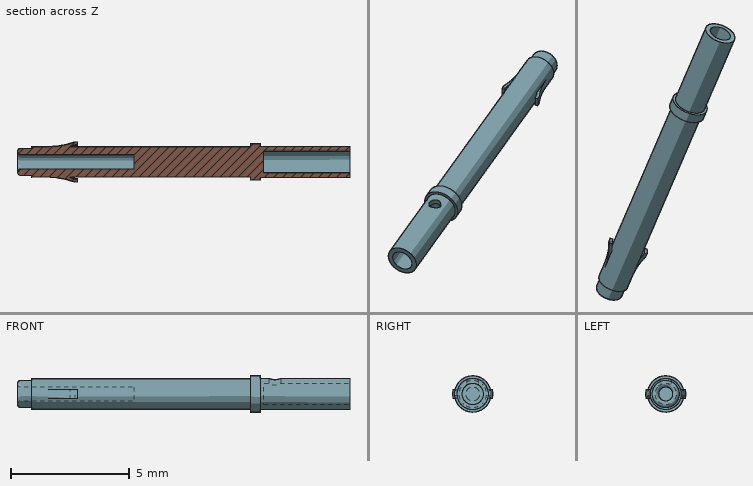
import cadquery as cq
import math

length = 14.09
body_diameter = 1.31
rear_diameter = 1.32

nose_diameter = 1.15
nose_length = 0.6
socket_diameter = 0.59
socket_depth = 4.93
rim_radius = (nose_diameter - socket_diameter) / 4

collar_diameter = 1.55
collar_start = 9.86
collar_width = 0.42

barrel_diameter = 0.9
barrel_depth = 3.66
inspection_diameter = 0.51
inspection_x = 10.9

tine_span = 1.7
tine_width = 0.4
tine_thickness = 0.13
tine_start = 1.32
tine_crest = 2.42
tine_end = 2.55


def rod(start, rod_length, diameter):
    """Solid cylinder along X."""
    return cq.Workplane("YZ", origin=(start, 0, 0)).circle(diameter / 2).extrude(rod_length)


def make_nose():
    """Bored nose sleeve whose front rim is a half torus."""
    outer = nose_diameter / 2
    inner = socket_diameter / 2
    return (
        cq.Workplane("XY")
        .moveTo(rim_radius, inner)
        .threePointArc((0, inner + rim_radius), (rim_radius, outer))
        .lineTo(nose_length, outer)
        .lineTo(nose_length, inner)
        .close()
        .revolve(360, (0, 0, 0), (1, 0, 0))
    )


def make_tines():
    """Flared strip with a short level lip, revolved and trimmed to one tine on each side."""
    body_radius = body_diameter / 2
    crest_radius = tine_span / 2
    lip_underside = crest_radius - tine_thickness

    run = tine_crest - tine_start
    rise = crest_radius - body_radius
    flare_radius = (run**2 + rise**2) / (2 * rise)
    sweep = math.asin(run / flare_radius)
    flare_center_y = body_radius + flare_radius

    def flare_point(arc_radius, angle):
        return (
            tine_start + arc_radius * math.sin(angle),
            flare_center_y - arc_radius * math.cos(angle),
        )

    underside_radius = flare_radius + tine_thickness
    underside_sweep = math.acos((flare_center_y - lip_underside) / underside_radius)
    ring = (
        cq.Workplane("XY")
        .moveTo(*flare_point(flare_radius, 0))
        .threePointArc(flare_point(flare_radius, sweep / 2), (tine_crest, crest_radius))
        .lineTo(tine_end, crest_radius)
        .lineTo(tine_end, lip_underside)
        .lineTo(*flare_point(underside_radius, underside_sweep))
        .threePointArc(
            flare_point(underside_radius, underside_sweep / 2),
            flare_point(underside_radius, 0),
        )
        .close()
        .revolve(360, (0, 0, 0), (1, 0, 0))
    )
    band = cq.Workplane("XY").box(length, tine_span, tine_width).translate((length / 2, 0, 0))
    return ring.intersect(band)


def make_inspection_hole():
    """Radial hole through the upper wall into the wire barrel."""
    return (
        cq.Workplane("XY")
        .center(inspection_x, 0)
        .circle(inspection_diameter / 2)
        .extrude(rear_diameter)
    )


body = rod(nose_length, collar_start - nose_length, body_diameter)
body = body.union(rod(collar_start, length - collar_start, rear_diameter))
body = body.union(rod(collar_start, collar_width, collar_diameter))
body = body.cut(rod(nose_length, socket_depth - nose_length, socket_diameter))
body = body.union(make_nose())
body = body.union(make_tines())
body = body.cut(rod(length - barrel_depth, barrel_depth, barrel_diameter))
result = body.cut(make_inspection_hole())